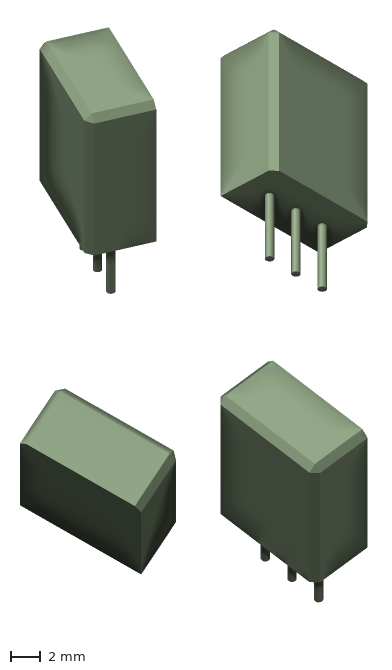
import cadquery as cq

total_height = 16.64
body_width = 9.52
body_depth = 4.95
pin_length = 5.08
body_height = total_height - pin_length

bevel = 0.5

pin_diameter = 0.63
pin_pitch = 2.55
pin_count = 3
pin_row_from_front = 2.53


def make_housing():
    """Block standing on Z = 0 with its front on Y = 0; back and bottom edges stay sharp."""
    block = cq.Workplane("XY").box(body_width, body_depth, body_height, centered=(True, False, False))
    front_edges = block.faces("<Y").edges("not <Z")
    side_top_edges = block.faces(">Z").edges("|Y")
    return block.newObject(front_edges.vals() + side_top_edges.vals()).chamfer(bevel).solids()


def make_pin(x):
    """Straight pin hanging from the underside of the housing."""
    return cq.Workplane("XY").center(x, pin_row_from_front).circle(pin_diameter / 2).extrude(-pin_length)


housing = make_housing()

pins = []
for index in range(pin_count):
    pin_x = (index - (pin_count - 1) / 2) * pin_pitch
    pins.append(make_pin(pin_x))

result = cq.Compound.makeCompound([housing.val(), *[pin.val() for pin in pins]])